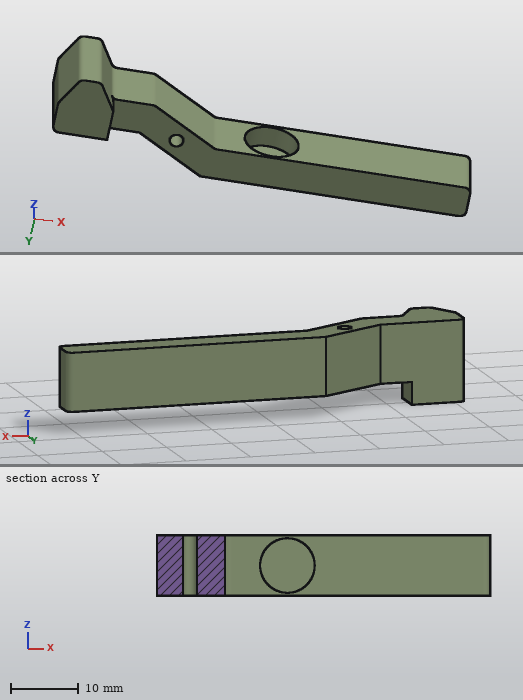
import cadquery as cq
import math

length = 63.4
depth = 15.5
head_height = 12.5
arm_height = 9.0

bar_thickness = 5.1
neck_back = 9.65
neck_front = neck_back - bar_thickness
arm_front = depth - bar_thickness
crank_angle = math.radians(30)
crank_run = (depth - neck_back) / math.tan(crank_angle)
back_bend_x = 13.2
front_bend_x = back_bend_x + bar_thickness * math.tan(crank_angle / 2)

head_width = 8.3
tooth_angle = math.radians(60)
tooth_inset = neck_front / math.tan(tooth_angle)

corner_radius = 1.0

pin_diameter = 2.0
pin_x = 18.8
pin_y = 10.0
pocket_diameter = 8.1
pocket_x = 33.3
pocket_depth = 3.3


def extrude_down(points, height):
    """Extrude a closed outline downward from the top face at Z = 0."""
    return cq.Workplane("XY").polyline(points).close().extrude(-height)


def round_corners(body, corners):
    """Round the vertical edges that stand at the given outline corners."""
    for x, y in corners:
        edge = cq.selectors.NearestToPointSelector((x, y, -arm_height / 2))
        body = body.edges("|Z").edges(edge).fillet(corner_radius)
    return body


head_back_left = (0, neck_back)
tooth_left = (0, neck_front)
tooth_tip_left = (tooth_inset, 0)
tooth_tip_right = (head_width - tooth_inset, 0)
tooth_right = (head_width, neck_front)

neck_bend_front = (front_bend_x, neck_front)
arm_bend_front = (front_bend_x + crank_run, arm_front)
arm_end_front = (length, arm_front)
arm_end_back = (length, depth)
arm_bend_back = (back_bend_x + crank_run, depth)
neck_bend_back = (back_bend_x, neck_back)

outline = [
    head_back_left, tooth_left, tooth_tip_left, tooth_tip_right, tooth_right,
    neck_bend_front, arm_bend_front, arm_end_front,
    arm_end_back, arm_bend_back, neck_bend_back,
]
lever = round_corners(
    extrude_down(outline, arm_height),
    [head_back_left, tooth_left, tooth_tip_left, tooth_tip_right, tooth_right,
     neck_bend_front, arm_bend_front, arm_end_front, arm_end_back],
)

head_outline = [
    head_back_left, tooth_left, tooth_tip_left, tooth_tip_right, tooth_right,
    (head_width, neck_back),
]
head = round_corners(
    extrude_down(head_outline, head_height),
    [head_back_left, tooth_left, tooth_tip_left, tooth_tip_right],
)

pin_hole = cq.Workplane("XY").center(pin_x, pin_y).circle(pin_diameter / 2).extrude(-arm_height)

pocket = (
    cq.Workplane("XZ", origin=(pocket_x, arm_front, -arm_height / 2))
    .circle(pocket_diameter / 2)
    .extrude(-pocket_depth)
)

result = lever.union(head).cut(pin_hole).cut(pocket)